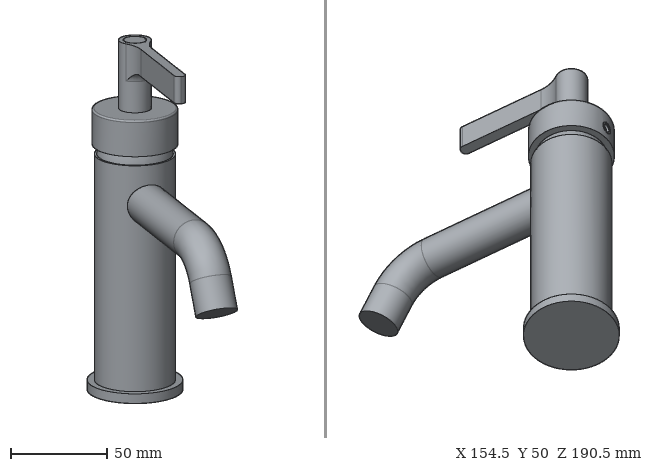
import cadquery as cq
import math

total_height = 190.5

base_radius = 25.0
base_height = 5.3
body_radius = 21.2
body_top = 128.5
neck_radius = 20.0
neck_center_z = 127.0
collar_diameter = 44.8
collar_radius = collar_diameter / 2
collar_bottom = 133.8
collar_top = 153.4
collar_round = 1.0

screw_z = 142.5
screw_hole_radius = 3.5
screw_hole_depth = 0.5
socket_radius = 2.3
socket_depth = 1.3

post_radius = 8.5
lever_bottom = 175.7
lever_reach = 68.5
lever_width = 6.1
lever_end_radius = 2.7
lever_blend_end = 16.8
underside_radius = 5.3
plug_radius = 6.1
plug_gap_width = 0.2
plug_gap_depth = 0.5

spout_radius = 11.0
spout_z = 106.5
spout_bend_start = 86.1
spout_bend_radius = 28.8
spout_bend_angle = 60.0
overall_length = 154.5


def disc(radius, bottom, top):
    """Upright cylinder on the body axis."""
    return cq.Workplane("XY").workplane(offset=bottom).circle(radius).extrude(top - bottom)


def make_body():
    """Base flange, column, spherical neck and round-edged collar as one revolved profile."""
    low_angle = math.asin((body_top - neck_center_z) / neck_radius)
    high_angle = math.asin((collar_bottom - neck_center_z) / neck_radius)

    def neck_point(angle):
        return (neck_radius * math.cos(angle), neck_center_z + neck_radius * math.sin(angle))

    round_middle = collar_round * (1 - math.sqrt(0.5))
    return (
        cq.Workplane("XZ")
        .lineTo(base_radius, 0)
        .lineTo(base_radius, base_height)
        .lineTo(body_radius, base_height)
        .lineTo(body_radius, body_top)
        .lineTo(*neck_point(low_angle))
        .threePointArc(neck_point((low_angle + high_angle) / 2), neck_point(high_angle))
        .lineTo(collar_radius, collar_bottom)
        .lineTo(collar_radius, collar_top - collar_round)
        .threePointArc(
            (collar_radius - round_middle, collar_top - round_middle),
            (collar_radius - collar_round, collar_top),
        )
        .lineTo(0, collar_top)
        .close()
        .revolve(360, (0, 0, 0), (0, 1, 0))
    )


def make_spout():
    """Round bar swept along a straight run, a downward bend and a straight outlet."""
    angle = math.radians(spout_bend_angle)
    half_angle = angle / 2
    bend_end_x = spout_bend_start + spout_bend_radius * math.sin(angle)
    bend_end_z = spout_z - spout_bend_radius * (1 - math.cos(angle))
    bend_middle = (
        spout_bend_start + spout_bend_radius * math.sin(half_angle),
        spout_z - spout_bend_radius * (1 - math.cos(half_angle)),
    )
    tip_x = overall_length - base_radius - spout_radius * math.sin(angle)
    tip_z = bend_end_z - (tip_x - bend_end_x) * math.tan(angle)
    path = (
        cq.Workplane("XZ")
        .moveTo(0, spout_z)
        .lineTo(spout_bend_start, spout_z)
        .threePointArc(bend_middle, (bend_end_x, bend_end_z))
        .lineTo(tip_x, tip_z)
    )
    return cq.Workplane("YZ").center(0, spout_z).circle(spout_radius).sweep(path)


def make_lever():
    """Round post with a flat handle that flares into it through tangent arcs."""
    half_width = lever_width / 2
    blend_radius = (lever_blend_end**2 + half_width**2 - post_radius**2) / (2 * (post_radius - half_width))
    blend_center_y = half_width + blend_radius
    post_share = post_radius / (post_radius + blend_radius)
    tangent_x = lever_blend_end * post_share
    tangent_y = blend_center_y * post_share
    mid_angle = (math.atan2(tangent_y - blend_center_y, tangent_x - lever_blend_end) - math.pi / 2) / 2
    middle_x = lever_blend_end + blend_radius * math.cos(mid_angle)
    middle_y = blend_center_y + blend_radius * math.sin(mid_angle)

    foot = lever_bottom - underside_radius
    handle = (
        cq.Workplane("XY")
        .workplane(offset=foot)
        .moveTo(0, tangent_y)
        .lineTo(tangent_x, tangent_y)
        .threePointArc((middle_x, middle_y), (lever_blend_end, half_width))
        .lineTo(lever_reach, half_width)
        .lineTo(lever_reach, -half_width)
        .lineTo(lever_blend_end, -half_width)
        .threePointArc((middle_x, -middle_y), (tangent_x, -tangent_y))
        .lineTo(0, -tangent_y)
        .close()
        .extrude(total_height - foot)
        .edges("|Z and >X")
        .fillet(lever_end_radius)
    )

    round_end = post_radius + underside_radius
    sweep_radius = lever_reach + lever_width
    diagonal = underside_radius * math.sqrt(0.5)
    under_space = (
        cq.Workplane("XZ")
        .moveTo(post_radius, foot)
        .threePointArc((round_end - diagonal, foot + diagonal), (round_end, lever_bottom))
        .lineTo(sweep_radius, lever_bottom)
        .lineTo(sweep_radius, foot)
        .close()
        .revolve(360, (0, 0, 0), (0, 1, 0))
    )
    lever = disc(post_radius, collar_top, total_height).union(handle.cut(under_space))

    gap_bottom = total_height - plug_gap_depth
    plug_gap = disc(plug_radius, gap_bottom, total_height).cut(
        disc(plug_radius - plug_gap_width, gap_bottom, total_height)
    )
    return lever.cut(plug_gap)


def make_screw_recess():
    """Stepped round recess entering the collar from -X."""
    entry = cq.Workplane("YZ", origin=(-collar_radius, 0, screw_z))
    hole = entry.circle(screw_hole_radius).extrude(screw_hole_depth)
    socket = entry.circle(socket_radius).extrude(screw_hole_depth + socket_depth)
    return hole.union(socket)


result = make_body().union(make_spout()).union(make_lever()).cut(make_screw_recess())